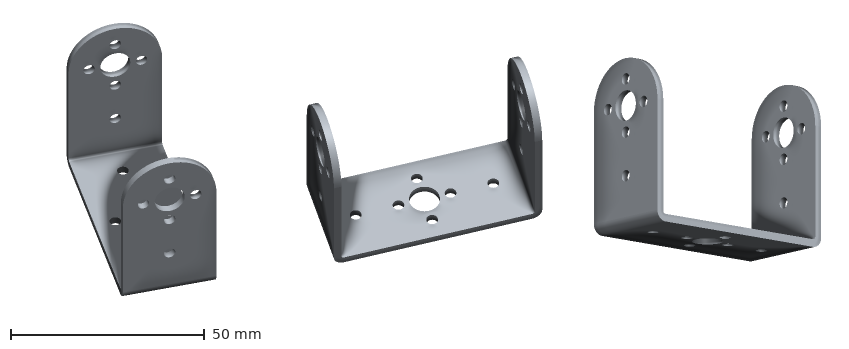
import cadquery as cq

length = 56.0
width = 25.0
height = 44.5
thickness = 2.0

bend_inner_radius = 0.7
bend_outer_radius = bend_inner_radius + thickness

hub_diameter = 8.0
screw_diameter = 3.0
screw_offset = 7.0
outlying_offset = 18.5

tip_radius = width / 2
hub_height = height - tip_radius


def bent_strip():
    """U-shaped strip with its base resting on Z = 0."""
    outer = (
        cq.Workplane("XY")
        .box(length, width, height, centered=(True, True, False))
        .edges("|Y and <Z")
        .fillet(bend_outer_radius)
    )
    inner = (
        cq.Workplane("XY")
        .workplane(offset=thickness)
        .box(length - 2 * thickness, width, height, centered=(True, True, False))
        .edges("|Y and <Z")
        .fillet(bend_inner_radius)
    )
    return outer.cut(inner)


def arm_outline():
    """Round-topped prism along X that shapes both arm tips."""
    return (
        cq.Workplane("YZ")
        .moveTo(-tip_radius, 0)
        .lineTo(tip_radius, 0)
        .lineTo(tip_radius, hub_height)
        .threePointArc((0, height), (-tip_radius, hub_height))
        .close()
        .extrude(length / 2, both=True)
    )


def hole_cutters(plane, outlying_points, depth):
    """Hub hole, four screw holes around it and the outlying holes."""
    screw_points = [
        (screw_offset, 0),
        (-screw_offset, 0),
        (0, screw_offset),
        (0, -screw_offset),
    ]
    hub = plane.circle(hub_diameter / 2).extrude(depth, both=True)
    screws = (
        plane.pushPoints(screw_points + outlying_points)
        .circle(screw_diameter / 2)
        .extrude(depth, both=True)
    )
    return hub.union(screws)


base_holes = hole_cutters(
    cq.Workplane("XY"),
    [(-outlying_offset, 0), (outlying_offset, 0)],
    thickness,
)
arm_holes = hole_cutters(
    cq.Workplane("YZ", origin=(0, 0, hub_height)),
    [(0, -outlying_offset)],
    length / 2,
)

result = bent_strip().intersect(arm_outline()).cut(base_holes).cut(arm_holes)